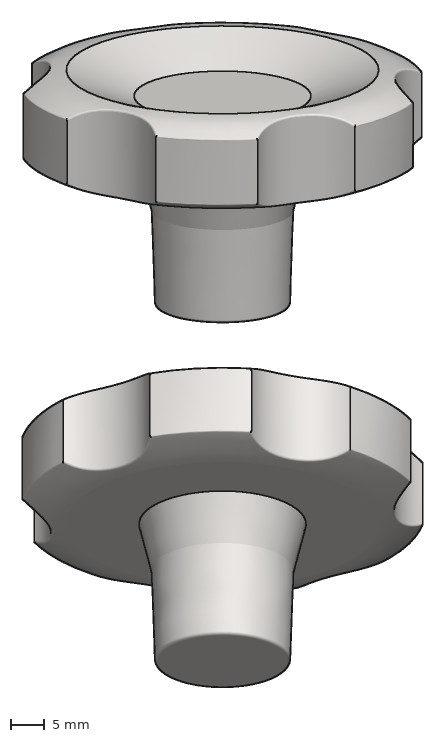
import cadquery as cq
import math

total_height = 36.0
head_radius = 29.9
head_height = 14.0
head_bottom = total_height - head_height

crown_radius = 23.0
crown_drop = 2.0

dish_floor_radius = 13.05
dish_depth = 4.0

stem_foot_radius = 10.0
stem_neck_radius = 10.45
stem_neck_height = 14.45
stem_top_radius = 12.3
stem_foot_round = 0.5

scallop_count = 6
scallop_radius = 11.2
scallop_floor_radius = 25.55
head_edge_round = 0.3


def crown_arc_point(sign, base):
    """Middle of the rim arc, which runs tangent into the flat face at height base."""
    run = head_radius - crown_radius
    arc_radius = (run**2 + crown_drop**2) / (2 * crown_drop)
    half_angle = math.asin(run / arc_radius) / 2
    return (
        crown_radius + arc_radius * math.sin(half_angle),
        base - sign * arc_radius * (1 - math.cos(half_angle)),
    )


def make_head():
    """Revolved disc with rounded rims and a conical dish in its top."""
    head = (
        cq.Workplane("XZ")
        .moveTo(0, head_bottom)
        .lineTo(crown_radius, head_bottom)
        .threePointArc(crown_arc_point(-1, head_bottom), (head_radius, head_bottom + crown_drop))
        .lineTo(head_radius, total_height - crown_drop)
        .threePointArc(crown_arc_point(1, total_height), (crown_radius, total_height))
        .lineTo(dish_floor_radius, total_height - dish_depth)
        .lineTo(0, total_height - dish_depth)
        .close()
        .revolve(360, (0, 0, 0), (0, 1, 0))
    )
    scallops = (
        cq.Workplane("XY")
        .workplane(offset=head_bottom)
        .polarArray(scallop_floor_radius + scallop_radius, 0, 360, scallop_count)
        .circle(scallop_radius)
        .extrude(head_height)
    )
    return head.cut(scallops)


def round_head_edges(head):
    """Soften the closed edge loops where the band and the scallops meet the curved rims."""
    edge_reach = scallop_floor_radius - 0.6

    def is_outer_rim_edge(edge):
        middle = edge.positionAt(0.5)
        is_upright = abs(edge.tangentAt(0.5).z) > 0.9
        return math.hypot(middle.x, middle.y) > edge_reach and not is_upright

    rim_edges = head.edges().filter(is_outer_rim_edge)
    return rim_edges.fillet(head_edge_round)


def make_stem():
    """Slightly tapered foot that flares out to meet the head."""
    return (
        cq.Workplane("XZ")
        .lineTo(stem_foot_radius, 0)
        .lineTo(stem_neck_radius, stem_neck_height)
        .lineTo(stem_top_radius, head_bottom)
        .lineTo(0, head_bottom)
        .close()
        .revolve(360, (0, 0, 0), (0, 1, 0))
        .faces("<Z")
        .edges()
        .fillet(stem_foot_round)
    )


result = round_head_edges(make_head()).union(make_stem())